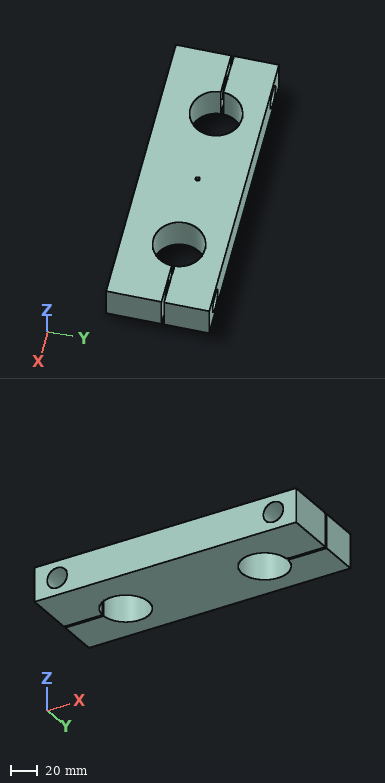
import cadquery as cq
import math

LENGTH = 230.0
WIDTH = 80.0
HEIGHT = 30.0

BORE_DIAMETER = 40.0
BORE_SPACING = 122.0
BORE_Y = 4.0
SLIT_WIDTH = 2.0

BOLT_HOLE_DIAMETER = 17.5
BOLT_HOLE_SPACING = 190.0

MARK_DIAMETER = 3.35
MARK_CONE_ANGLE = 60.0
PILOT_DIAMETER = 1.6
PILOT_LENGTH = 2.0


def make_block():
    return cq.Workplane("XY").box(LENGTH, WIDTH, HEIGHT, centered=(True, True, False))


def bore_cutter(side):
    """Vertical through bore on one side of the middle (side is -1 or 1)."""
    bore = cq.Workplane("XY").center(side * BORE_SPACING / 2, BORE_Y)
    return bore.circle(BORE_DIAMETER / 2).extrude(HEIGHT)


def slit_cutter(side):
    """Full-height slit from the bore centre out to the end of the block."""
    inner_x = BORE_SPACING / 2
    outer_x = LENGTH / 2
    slit = cq.Workplane("XY").center(side * (inner_x + outer_x) / 2, BORE_Y)
    return slit.rect(outer_x - inner_x, SLIT_WIDTH).extrude(HEIGHT)


def bolt_hole_cutter(side):
    """Hole along Y through the full width at mid height."""
    hole = cq.Workplane("XZ", origin=(side * BOLT_HOLE_SPACING / 2, 0, HEIGHT / 2))
    return hole.circle(BOLT_HOLE_DIAMETER / 2).extrude(WIDTH / 2, both=True)


def centre_mark_cutter():
    """Countersink from the top face that narrows into a short blind pilot hole."""
    mark_radius = MARK_DIAMETER / 2
    pilot_radius = PILOT_DIAMETER / 2
    cone_depth = (mark_radius - pilot_radius) / math.tan(math.radians(MARK_CONE_ANGLE / 2))
    cone_bottom_z = HEIGHT - cone_depth
    pilot_bottom_z = cone_bottom_z - PILOT_LENGTH
    profile = (
        cq.Workplane("XZ", origin=(0, BORE_Y, 0))
        .moveTo(0, HEIGHT)
        .lineTo(mark_radius, HEIGHT)
        .lineTo(pilot_radius, cone_bottom_z)
        .lineTo(pilot_radius, pilot_bottom_z)
        .lineTo(0, pilot_bottom_z)
        .close()
    )
    return profile.revolve(360, (0, 0, 0), (0, 1, 0))


result = make_block()
for side in (-1, 1):
    result = result.cut(bore_cutter(side))
    result = result.cut(slit_cutter(side))
    result = result.cut(bolt_hole_cutter(side))
result = result.cut(centre_mark_cutter())